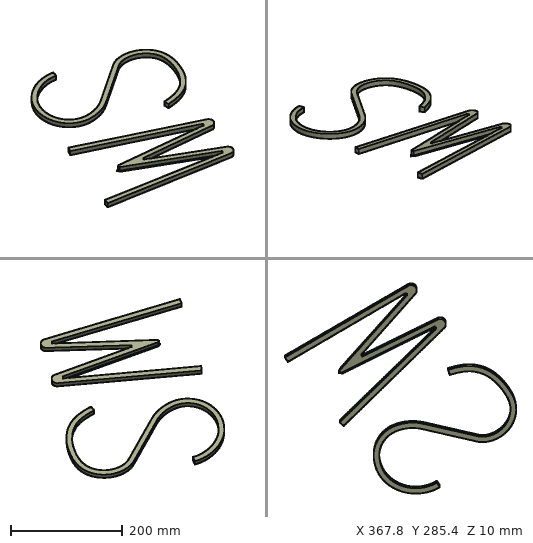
import cadquery as cq
import math

thickness = 10.0
stroke_width = 10.3

upper_bowl = [(160.8, 220.7), (140.0, 257.5), (117.7, 273.3), (82.0, 280.0), (31.5, 265.5), (11.8, 223.0), (29.5, 181.0)]
lower_bowl = [(109.5, 119.5), (133.0, 89.8), (139.5, 62.5), (126.5, 28.0), (80.5, 5.0), (32.5, 21.5), (5.0, 71.5)]
upper_end_direction = (-0.35, 0.94)
lower_end_direction = (-0.1, 1.0)

m_centre_x = 283.5
leg_outer_foot = (84.2, 9.5)
leg_inner_foot = (74.0, 8.5)
peak_offset = 41.5
peak_centre_y = 266.5
peak_radius = stroke_width
notch_y = 256.0
notch_leg_offset = 43.5
notch_diagonal_offset = 39.0
valley_half_width = 2.0
valley_y = 119.0
tip_half_width = 3.0
tip_shoulder_y = 71.0
tip_y = 68.5

lip_height = 1.5
lip_width = 2.0
lip_tip_drop = 2.5
lip_root_width = 3.5
lip_root_depth = 14.7


def make_letter_s():
    """Sweep a rectangular stroke along the S centreline."""
    upper_joint = upper_bowl[-1]
    lower_joint = lower_bowl[0]
    diagonal = (lower_joint[0] - upper_joint[0], lower_joint[1] - upper_joint[1])
    diagonal_length = math.hypot(*diagonal)
    diagonal_direction = (diagonal[0] / diagonal_length, diagonal[1] / diagonal_length)
    path = (
        cq.Workplane("XY", origin=(0, 0, thickness / 2))
        .moveTo(*upper_bowl[0])
        .spline(
            upper_bowl[1:],
            tangents=[upper_end_direction, diagonal_direction],
            scale=False,
            includeCurrent=True,
        )
        .lineTo(*lower_joint)
        .spline(
            lower_bowl[1:],
            tangents=[diagonal_direction, lower_end_direction],
            scale=False,
            includeCurrent=True,
        )
    )
    section_plane = cq.Plane(
        origin=(*upper_bowl[0], thickness / 2),
        xDir=(0, 0, 1),
        normal=(*upper_end_direction, 0),
    )
    return cq.Workplane(section_plane).rect(thickness, stroke_width).sweep(path)


def m_point(side, offset, y):
    """Place a point beside the M mirror line; side is -1 for left, 1 for right."""
    return (m_centre_x + side * offset, y)


def make_m_plate():
    """Extrude the full M outline with rounded peaks."""
    left, right = -1, 1
    peak_top_y = peak_centre_y + peak_radius
    outer_offset = peak_offset + peak_radius
    inner_offset = peak_offset - peak_radius
    return (
        cq.Workplane("XY")
        .moveTo(*m_point(left, *leg_outer_foot))
        .lineTo(*m_point(left, outer_offset, peak_centre_y))
        .threePointArc(m_point(left, peak_offset, peak_top_y), m_point(left, inner_offset, peak_centre_y))
        .lineTo(*m_point(left, valley_half_width, valley_y))
        .lineTo(*m_point(right, valley_half_width, valley_y))
        .lineTo(*m_point(right, inner_offset, peak_centre_y))
        .threePointArc(m_point(right, peak_offset, peak_top_y), m_point(right, outer_offset, peak_centre_y))
        .lineTo(*m_point(right, *leg_outer_foot))
        .lineTo(*m_point(right, *leg_inner_foot))
        .lineTo(*m_point(right, notch_leg_offset, notch_y))
        .lineTo(*m_point(right, notch_diagonal_offset, notch_y))
        .lineTo(*m_point(right, tip_half_width, tip_shoulder_y))
        .lineTo(m_centre_x, tip_y)
        .lineTo(*m_point(left, tip_half_width, tip_shoulder_y))
        .lineTo(*m_point(left, notch_diagonal_offset, notch_y))
        .lineTo(*m_point(left, notch_leg_offset, notch_y))
        .lineTo(*m_point(left, *leg_inner_foot))
        .close()
        .extrude(thickness)
    )


def v_outline(extra_width, extra_drop):
    """Outline of the two diagonals below the notches, widened outward and lowered at the tip."""
    right_side = [
        (notch_diagonal_offset - lip_root_width, notch_y),
        (notch_diagonal_offset + extra_width, notch_y),
        (tip_half_width + extra_width, tip_shoulder_y),
    ]
    return [
        m_point(0, 0, valley_y - lip_root_depth),
        *[m_point(1, offset, y) for offset, y in right_side],
        m_point(0, 0, tip_y - extra_drop),
        *[m_point(-1, offset, y) for offset, y in reversed(right_side)],
    ]


def make_diagonal_lip():
    """Sloping flare that widens the V toward its underside; its root lies inside the plate."""
    return (
        cq.Workplane("XY")
        .polyline(v_outline(lip_width, lip_tip_drop))
        .close()
        .workplane(offset=lip_height)
        .polyline(v_outline(0, 0))
        .close()
        .loft(ruled=True)
    )


def make_letter_m():
    return make_m_plate().union(make_diagonal_lip())


letter_s = make_letter_s()
letter_m = make_letter_m()

result = cq.Compound.makeCompound([letter_s.val(), letter_m.val()])